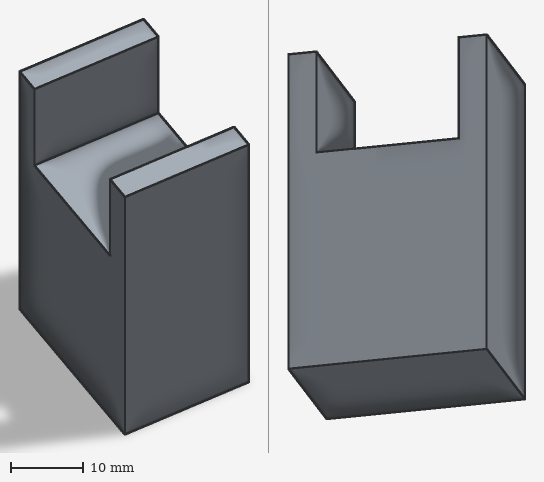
import cadquery as cq

width = 28.5
depth = 20.0
height = 46.75

wall_thickness = 4.0
wall_height = 15.0
channel_width = width - 2 * wall_thickness
floor_height = height - wall_height

block = cq.Workplane("XY").box(width, depth, height, centered=(True, True, False))

channel = (
    cq.Workplane("XY")
    .workplane(offset=floor_height)
    .box(channel_width, depth, wall_height, centered=(True, True, False))
)

result = block.cut(channel)